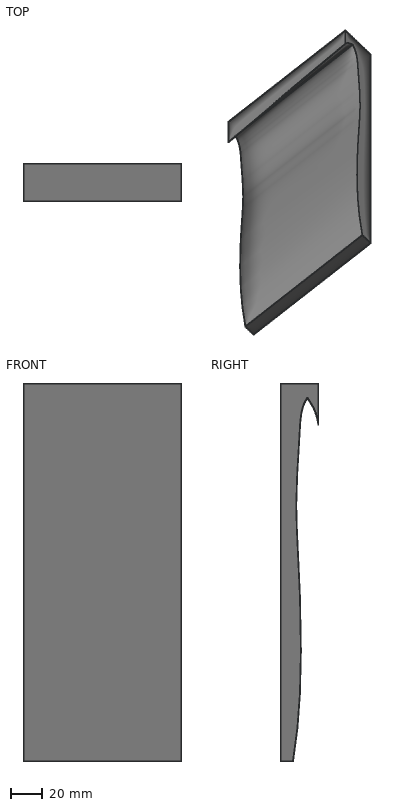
import cadquery as cq

width = 100.0
depth = 24.0
height = 240.0

foot_thickness = 8.0
swell_thickness = 13.0
swell_height = 66.0
waist_thickness = 11.3
waist_height = 129.5
neck_thickness = 10.0
neck_height = 170.5
shoulder_thickness = 12.2
shoulder_height = 208.8
throat_thickness = 15.5
throat_height = 228.5
crest_depth = 17.0
crest_height = 231.0

left_lip_height = 223.0
right_lip_height = 213.8
left_lip_bulge = (20.6, 228.2)
right_lip_bulge = (21.0, 224.0)


def side_profile(offset, lip_height, lip_bulge):
    """Closed hook outline in the YZ plane at x = offset."""
    return (
        cq.Workplane("YZ", origin=(offset, 0, 0))
        .moveTo(0, 0)
        .lineTo(foot_thickness, 0)
        .spline(
            [
                (swell_thickness, swell_height),
                (waist_thickness, waist_height),
                (neck_thickness, neck_height),
                (shoulder_thickness, shoulder_height),
                (throat_thickness, throat_height),
                (crest_depth, crest_height),
            ],
            includeCurrent=True,
        )
        .threePointArc(lip_bulge, (depth, lip_height))
        .lineTo(depth, height)
        .lineTo(0, height)
        .close()
        .wires()
        .val()
    )


left_profile = side_profile(0, left_lip_height, left_lip_bulge)
right_profile = side_profile(width, right_lip_height, right_lip_bulge)

result = cq.Workplane(cq.Solid.makeLoft([left_profile, right_profile], True))